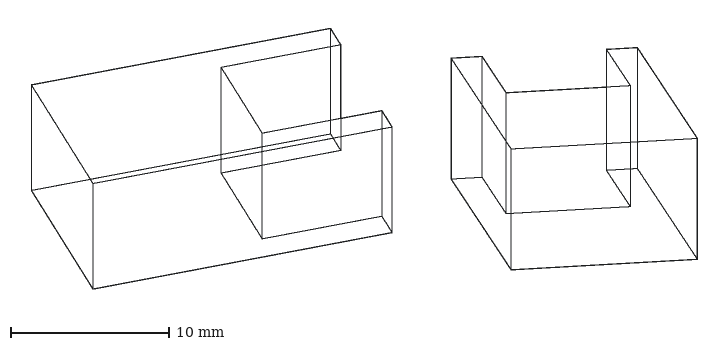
import cadquery as cq

width = 12.0
length = 20.0
height = 8.0
arm_thickness = 2.0
slot_depth = 8.0

slot_width = width - 2 * arm_thickness

block = cq.Workplane("XY").box(width, length, height)

slot = (
    cq.Workplane("XY")
    .box(slot_width, slot_depth, height)
    .translate((0, (length - slot_depth) / 2, 0))
)

result = block.cut(slot)